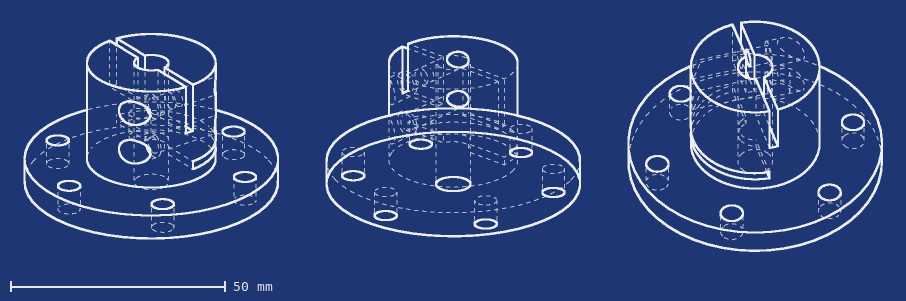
import cadquery as cq

flange_diameter = 59.0
flange_thickness = 6.0
bolt_hole_diameter = 5.2
bolt_circle_diameter = 47.5
bolt_count = 6
first_bolt_angle = 90

hub_diameter = 30.0
total_height = 31.0
hub_height = total_height - flange_thickness
bore_diameter = 8.0

slit_width = 2.0
vertical_slit_depth = 12.0
horizontal_slit_bottom = 9.0

screw_x = 8.95
screw_heights = (15.0, 25.0)
screw_hole_diameter = 4.0
counterbore_diameter = 6.0
counterbore_floor_y = -6.0


def make_flange():
    """Round plate with a ring of bolt holes."""
    plate = cq.Workplane("XY").circle(flange_diameter / 2).extrude(flange_thickness)
    bolt_holes = (
        cq.Workplane("XY")
        .polarArray(bolt_circle_diameter / 2, first_bolt_angle, 360, bolt_count)
        .circle(bolt_hole_diameter / 2)
        .extrude(flange_thickness)
    )
    return plate.cut(bolt_holes)


def make_hub():
    """Plain cylinder standing on the flange."""
    return (
        cq.Workplane("XY", origin=(0, 0, flange_thickness))
        .circle(hub_diameter / 2)
        .extrude(hub_height)
    )


def make_bore():
    """Shaft hole through hub and flange."""
    return cq.Workplane("XY").circle(bore_diameter / 2).extrude(total_height)


def make_vertical_slit():
    """Slit across the full hub along X, open at the top."""
    return cq.Workplane("XY", origin=(0, 0, total_height - vertical_slit_depth)).box(
        hub_diameter, slit_width, vertical_slit_depth, centered=(True, True, False)
    )


def make_horizontal_slit():
    """Slit under the +Y part of the hub, ending in line with the vertical slit's wall."""
    return cq.Workplane("XY", origin=(0, slit_width / 2, horizontal_slit_bottom)).box(
        hub_diameter, hub_diameter / 2, slit_width, centered=(True, False, False)
    )


def make_screw_hole(height):
    """Through hole along Y with a counterbore entering from the -Y side."""
    hub_front_y = -hub_diameter / 2
    through_hole = (
        cq.Workplane("XZ", origin=(screw_x, -hub_front_y, height))
        .circle(screw_hole_diameter / 2)
        .extrude(hub_diameter)
    )
    counterbore = (
        cq.Workplane("XZ", origin=(screw_x, counterbore_floor_y, height))
        .circle(counterbore_diameter / 2)
        .extrude(counterbore_floor_y - hub_front_y)
    )
    return through_hole.union(counterbore)


result = make_flange().union(make_hub())
result = result.cut(make_bore()).cut(make_vertical_slit()).cut(make_horizontal_slit())
for screw_height in screw_heights:
    result = result.cut(make_screw_hole(screw_height))